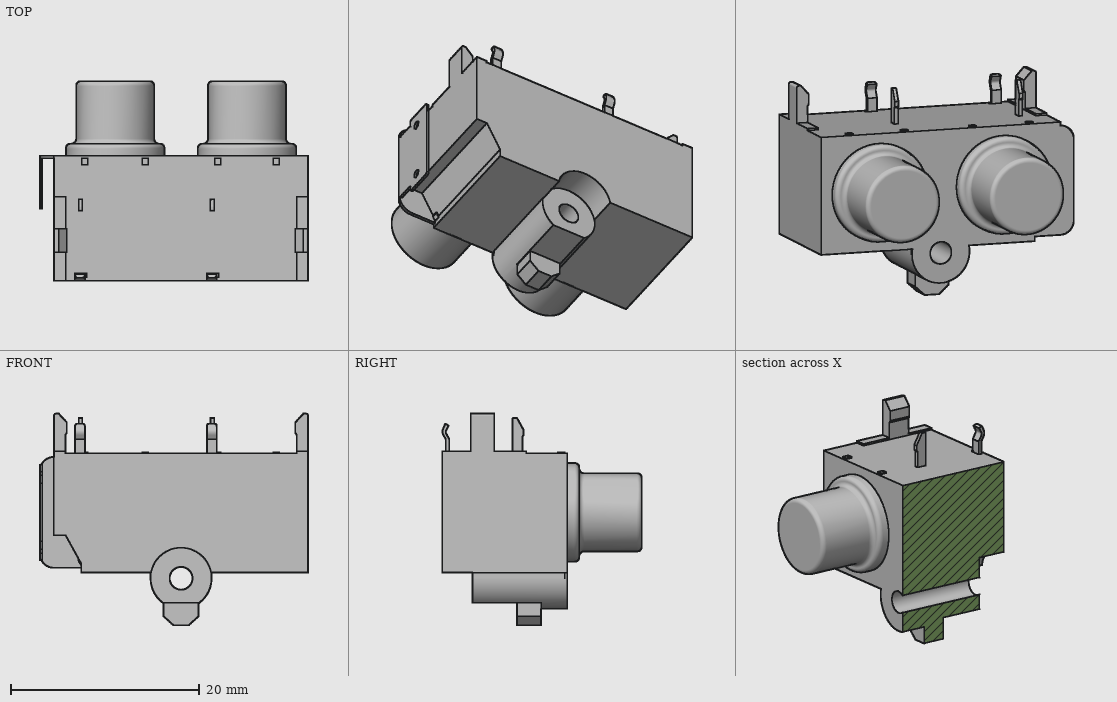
import cadquery as cq
import math


housing_width = 27.0
housing_depth = 13.3
housing_height = 12.7
notch_side_x = 1.25
notch_side_z = 3.95
notch_base_x = 2.9
notch_base_z = 0.95

ledge_width = 1.23
ledge_length = 8.95
ledge_height = 0.2
ledge_top = housing_height + ledge_height
tab_near_y = 3.02
tab_length = 2.53
tab_top = 16.9
tab_hook_width = 1.38
tab_hook_low_z = 14.6
tab_hook_start_z = 14.85
tab_hook_end_z = 15.95
tab_tip_width = 0.5
tab_tip_radius = 0.25

jack_spacing = 14.0
jack_centers_x = [housing_width / 2 + side * jack_spacing / 2 for side in (-1, 1)]
jack_z = 6.4
flange_radius = 5.25
flange_face_y = 14.57
barrel_radius = 4.16
barrel_end_y = 21.21
jack_round = 0.5

boss_x = housing_width / 2
boss_z = -0.6
boss_radius = 3.25
boss_start_y = 3.2
boss_flat_z = -3.22
screw_hole_radius = 1.2
foot_width = 3.75
foot_near_y = 7.95
foot_length = 2.55
foot_bottom = -5.6
foot_chamfer_x = 1.07
foot_chamfer_z = 0.97

plate_thickness = 0.3
plate_back_y = housing_depth - plate_thickness
plate_left = -1.5
plate_top = 12.3
plate_bottom = 0.5
plate_corner_radius = -plate_left
plate_mid_z = (plate_top + plate_bottom) / 2
flap_thickness = 0.25
flap_neck_height = 8.65
flap_neck_y = 11.0
flap_height = 10.12
flap_end_y = 7.67
flap_corner_radius = 0.25
flap_hole_radius = 0.43
flap_hole_y = 9.73
flap_hole_spacing = 7.0

pad_width = 0.65
pad_length = 0.7
pad_height = 0.1
pad_centers_x = [3.29, 9.7, 17.38, 23.6]
slope_pad_top_z = 1.36

terminal_spacing = jack_spacing
pin_x = 2.61
pin_thickness = 0.42
pin_back_y = 7.46
pin_depth = 1.08
pin_barb = 0.12
pin_top = 16.43
pin_tip_depth = 0.5
pin_barb_low_z = 14.45
pin_barb_end_z = 14.6
pin_barb_start_z = 15.15
pin_tip_radius = 0.15

spring_x = 2.23
spring_width = 1.07
spring_near_y = 0.38
spring_thickness = 0.4
spring_bend_z = 14.15
spring_knee_z = 14.93
spring_knee_y = -0.055
spring_knee_outer_radius = 0.7
spring_knee_inner_radius = 0.3
spring_tip_near = (0.33, 15.82)
spring_tip_far = (0.7, 15.62)
spring_tip_radius = 0.25
spring_shoulder = 0.2
root_depth = 0.5


def box(x0, x1, y0, y1, z0, z1):
    return cq.Workplane("XY").box(x1 - x0, y1 - y0, z1 - z0, centered=False).translate((x0, y0, z0))


def extrude_xz(points, y0, y1):
    """Prism with an X-Z outline, running from y0 to y1."""
    return cq.Workplane("XZ", origin=(0, y0, 0)).polyline(points).close().extrude(y0 - y1)


def extrude_yz(points, x0, x1):
    """Prism with a Y-Z outline, running from x0 to x1."""
    return cq.Workplane("YZ", origin=(x0, 0, 0)).polyline(points).close().extrude(x1 - x0)


def cylinder_y(x, z, radius, y0, y1):
    return cq.Workplane("XZ", origin=(x, y0, z)).circle(radius).extrude(y0 - y1)


def make_housing():
    outline = [
        (notch_base_x, 0),
        (housing_width, 0),
        (housing_width, housing_height),
        (0, housing_height),
        (0, notch_side_z),
        (notch_side_x, notch_side_z),
        (notch_base_x, notch_base_z),
    ]
    pocket = cylinder_y(boss_x, boss_z, boss_radius, 0, boss_start_y)
    return extrude_xz(outline, 0, housing_depth).cut(pocket)


def make_locking_tab():
    """Left ledge with its hooked tab."""
    ledge = box(0, ledge_width, 0, ledge_length, housing_height, ledge_top)
    outline = [
        (0, housing_height),
        (ledge_width, housing_height),
        (ledge_width, tab_hook_low_z),
        (tab_hook_width, tab_hook_start_z),
        (tab_hook_width, tab_hook_end_z),
        (tab_tip_width, tab_top),
        (0, tab_top),
    ]
    tab = extrude_xz(outline, tab_near_y, tab_near_y + tab_length)
    tab = tab.edges(cq.selectors.NearestToPointSelector((0, tab_near_y + tab_length / 2, tab_top)))
    return ledge.union(tab.fillet(tab_tip_radius))


def make_jack(x):
    """Solid of revolution: flange with a rounded rim, and a barrel blended into it."""
    middle = math.sqrt(0.5)
    rim_x = flange_radius - jack_round
    rim_y = flange_face_y - jack_round
    blend_x = barrel_radius + jack_round
    blend_y = flange_face_y + jack_round
    tip_x = barrel_radius - jack_round
    tip_y = barrel_end_y - jack_round
    bow = jack_round * middle
    profile = (
        cq.Workplane("XY")
        .moveTo(0, plate_back_y)
        .lineTo(flange_radius, plate_back_y)
        .lineTo(flange_radius, rim_y)
        .threePointArc((rim_x + bow, rim_y + bow), (rim_x, flange_face_y))
        .lineTo(blend_x, flange_face_y)
        .threePointArc((blend_x - bow, blend_y - bow), (barrel_radius, blend_y))
        .lineTo(barrel_radius, tip_y)
        .threePointArc((tip_x + bow, tip_y + bow), (tip_x, barrel_end_y))
        .lineTo(0, barrel_end_y)
        .close()
    )
    return profile.revolve(360, (0, 0, 0), (0, 1, 0)).translate((x, 0, jack_z))


def make_boss():
    """U-shaped boss: full round at the jack end, flat underneath at the rear."""
    left = boss_x - boss_radius
    right = boss_x + boss_radius
    boss = cylinder_y(boss_x, boss_z, boss_radius, boss_start_y, housing_depth)
    boss = boss.union(box(left, right, boss_start_y, plate_back_y, boss_z, -boss_z))
    foot_end_y = foot_near_y + foot_length
    boss = boss.cut(box(left, right, boss_start_y, foot_end_y, boss_z - boss_radius, boss_flat_z))
    half = foot_width / 2
    foot_outline = [
        (boss_x - half, boss_z),
        (boss_x + half, boss_z),
        (boss_x + half, foot_bottom + foot_chamfer_z),
        (boss_x + half - foot_chamfer_x, foot_bottom),
        (boss_x - half + foot_chamfer_x, foot_bottom),
        (boss_x - half, foot_bottom + foot_chamfer_z),
    ]
    return boss.union(extrude_xz(foot_outline, foot_near_y, foot_end_y))


def make_plate():
    """Left end of the ground plate and the flap bent back from it."""
    sheet = box(plate_left, notch_base_x, plate_back_y, housing_depth, plate_bottom, plate_top)
    sheet = sheet.edges("|Y and <X").fillet(plate_corner_radius)
    flap_right = plate_left + flap_thickness
    half_neck = flap_neck_height / 2
    half_flap = flap_height / 2
    neck = box(
        plate_left, flap_right, flap_neck_y, housing_depth,
        plate_mid_z - half_neck, plate_mid_z + half_neck,
    )
    flap = box(
        plate_left, flap_right, flap_end_y, flap_neck_y,
        plate_mid_z - half_flap, plate_mid_z + half_flap,
    )
    flap = flap.edges("|X").fillet(flap_corner_radius)
    holes = (
        cq.Workplane("YZ", origin=(plate_left, flap_hole_y, plate_mid_z))
        .rarray(1, flap_hole_spacing, 1, 2)
        .circle(flap_hole_radius)
        .extrude(flap_thickness)
    )
    return sheet.union(neck).union(flap.cut(holes))


def make_pads():
    """Claw pads standing slightly proud of the top and of the notch slope."""
    pad_start_y = plate_back_y - pad_length
    pads = cq.Workplane("XY")
    for x in pad_centers_x:
        pads = pads.add(
            box(
                x - pad_width / 2, x + pad_width / 2, pad_start_y, plate_back_y,
                housing_height - root_depth, housing_height + pad_height,
            )
        )
    run = notch_base_x - notch_side_x
    drop = notch_side_z - notch_base_z
    slope_angle = math.degrees(math.atan2(drop, run))
    slope_pad_top_x = notch_side_x + run * (notch_side_z - slope_pad_top_z) / drop
    slope_pad = (
        box(0, pad_width, pad_start_y, plate_back_y, -pad_height, root_depth)
        .rotate((0, 0, 0), (0, 1, 0), slope_angle)
        .translate((slope_pad_top_x, 0, slope_pad_top_z))
    )
    return pads.add(slope_pad).combine()


def make_pin():
    """Flat barbed terminal pin of the left jack."""
    front_y = pin_back_y + pin_depth
    barb_y = front_y + pin_barb
    root_z = housing_height - root_depth
    outline = [
        (pin_back_y, root_z),
        (front_y, root_z),
        (front_y, pin_barb_low_z),
        (barb_y, pin_barb_end_z),
        (barb_y, pin_barb_start_z),
        (pin_back_y + pin_tip_depth, pin_top),
        (pin_back_y, pin_top),
    ]
    pin = extrude_yz(outline, pin_x, pin_x + pin_thickness)
    return pin.edges("|X and >Z").fillet(pin_tip_radius)


def make_spring():
    """Kinked spring terminal of the left jack, with a shoulder at its root."""
    far_y = spring_near_y + spring_thickness
    inner_knee_y = spring_knee_y + spring_thickness
    root_z = housing_height - root_depth
    outline = [
        (spring_near_y, root_z),
        (far_y, root_z),
        (far_y, spring_bend_z),
        (inner_knee_y, spring_knee_z),
        spring_tip_far,
        spring_tip_near,
        (spring_knee_y, spring_knee_z),
        (spring_near_y, spring_bend_z),
    ]
    right = spring_x + spring_width
    spring = extrude_yz(outline, spring_x, right)
    knee_x = spring_x + spring_width / 2
    outer_knee = cq.selectors.NearestToPointSelector((knee_x, spring_knee_y, spring_knee_z))
    spring = spring.edges(outer_knee).fillet(spring_knee_outer_radius)
    inner_knee = cq.selectors.NearestToPointSelector((knee_x, inner_knee_y, spring_knee_z))
    spring = spring.edges(inner_knee).fillet(spring_knee_inner_radius)
    rounded_end = box(spring_x, right, spring_knee_y, far_y, root_z, spring_tip_near[1])
    rounded_end = rounded_end.edges("|Y and >Z").fillet(spring_tip_radius)
    shoulder = box(
        spring_x, right + spring_shoulder, spring_near_y, far_y,
        root_z, housing_height + pad_height,
    )
    return spring.intersect(rounded_end).union(shoulder)


def make_part():
    part = make_housing().union(make_boss()).union(make_plate()).union(make_pads())
    left_tab = make_locking_tab()
    right_tab = left_tab.mirror("YZ", (housing_width / 2, 0, 0))
    part = part.union(left_tab).union(right_tab)
    for x in jack_centers_x:
        part = part.union(make_jack(x))
    for shift in (0, terminal_spacing):
        part = part.union(make_pin().translate((shift, 0, 0)))
        part = part.union(make_spring().translate((shift, 0, 0)))
    return part.cut(cylinder_y(boss_x, boss_z, screw_hole_radius, 0, housing_depth))


result = make_part()